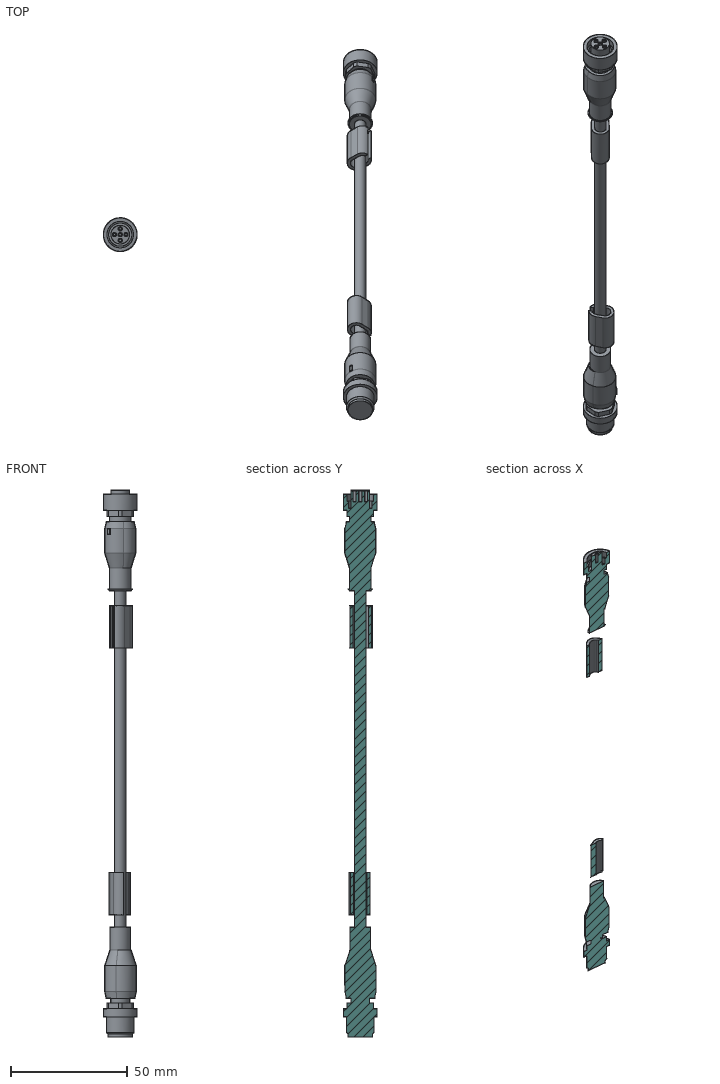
import cadquery as cq
import math

TOTAL_LENGTH = 235.65
NUT_RADIUS = 7.3
CABLE_RADIUS = 2.5
BODY_RADIUS = 6.7

MALE_TIP_RADIUS = 5.3
MALE_TIP_HEIGHT = 1.4
MALE_THREAD_RADIUS = 6.0
MALE_THREAD_CHAMFER_TOP = 2.1
MALE_FLANGE_BOTTOM = 8.8
MALE_FLANGE_TOP = 12.3
MALE_HEX_TOP = 14.8
MALE_NECK_RADIUS = 4.1
MALE_BODY_BOTTOM = 16.7
MALE_SHOULDER_RADIUS = 6.1
MALE_SHOULDER_TOP = 19.7
MALE_TAPER_BOTTOM = 30.8
MALE_TAPER_TOP = 37.5
MALE_SLEEVE_RADIUS = 4.5
MALE_SLEEVE_TOP = 47.4

INSERT_RADIUS = 4.0
INSERT_PROTRUSION = 1.8
FEMALE_NUT_BOTTOM = 8.8
NUT_BORE_RADIUS = 5.7
NUT_BORE_STEP_RADIUS = 5.0
NUT_BORE_STEP_DEPTH = 3.0
NUT_BORE_DEPTH = 6.0
FEMALE_HEX_BOTTOM = 11.5
FEMALE_NECK_RADIUS = 4.7
FEMALE_BODY_TOP = 13.6
FEMALE_SHOULDER_RADIUS = 6.0
FEMALE_SHOULDER_BOTTOM = 16.6
FEMALE_TAPER_TOP = 27.2
FEMALE_TAPER_BOTTOM = 33.6
FEMALE_SLEEVE_RADIUS = 4.7
FEMALE_RIM_TOP = 42.6
FEMALE_RIM_RADIUS = 5.3
FEMALE_RIM_BOTTOM = 43.4

SOCKET_CIRCLE_RADIUS = 2.5
SOCKET_DIAMETER = 1.1
SOCKET_DEPTH = 5.0
SOCKET_MOUTH_DIAMETER = 1.8
SOCKET_MOUTH_DEPTH = 0.5
OUTER_SOCKETS = 4

HEX_ACROSS_CORNERS = 13.4
HEX_ROUND_RADIUS = 6.3

LOBE_RISE = 0.5
LOBE_ANGLE = -45.0
MALE_LOBE_OFFSET = 0.9
FEMALE_LOBE_OFFSET = 2.25
MARK_REACH = 7.1
MARK_WIDTH = 1.2
MALE_MARK_LENGTH = 3.5
FEMALE_MARK_LENGTH = 2.5
MALE_MARK_ANGLE = 135.0
FEMALE_MARK_ANGLE = 225.0

MARKER_LENGTH = 18.3
MARKER_WIDTH = 7.7
MARKER_GRIP = 0.05
MARKER_WALL = MARKER_WIDTH / 2 - CABLE_RADIUS + MARKER_GRIP
MARKER_BACK = 6.0
MARKER_FRONT = 5.0
MARKER_SLOT_WIDTH = 2.2
LOWER_MARKER_BOTTOM = 52.7
UPPER_MARKER_BOTTOM = 167.6
UPPER_MARKER_ANGLE = 225.0
LOWER_MARKER_ANGLE = 298.0


def from_top(depth):
    """Height of a level given by its depth below the top end."""
    return TOTAL_LENGTH - depth


def cylinder(radius, bottom, top):
    return cq.Workplane("XY").workplane(offset=bottom).circle(radius).extrude(top - bottom)


def hex_neck(bottom, top):
    """Hexagon with corners on the Y axis, trimmed by a coaxial cylinder."""
    hexagon = (
        cq.Workplane("XY")
        .workplane(offset=bottom)
        .polygon(6, HEX_ACROSS_CORNERS)
        .extrude(top - bottom)
        .rotate((0, 0, 0), (0, 0, 1), 90)
    )
    return hexagon.intersect(cylinder(HEX_ROUND_RADIUS, bottom, top))


def radial_block(angle, reach, width, bottom, top):
    """Block running out from the axis to the given reach."""
    return (
        cq.Workplane("XY")
        .workplane(offset=bottom)
        .center(reach / 2, 0)
        .rect(reach, width)
        .extrude(top - bottom)
        .rotate((0, 0, 0), (0, 0, 1), angle)
    )


def grip_lobe(offset, outline):
    """Round lobe about an offset axis; outline lists (reach from the part axis, height) upwards."""
    profile = cq.Workplane("XZ").moveTo(0, outline[0][1])
    for reach, height in outline:
        profile = profile.lineTo(reach - offset, height)
    lobe = profile.lineTo(0, outline[-1][1]).close().revolve(360, (0, 0, 0), (0, 1, 0))
    return lobe.translate((offset, 0, 0)).rotate((0, 0, 0), (0, 0, 1), LOBE_ANGLE)


def male_connector():
    profile = (
        cq.Workplane("XZ")
        .moveTo(0, 0)
        .lineTo(MALE_TIP_RADIUS, 0)
        .lineTo(MALE_TIP_RADIUS, MALE_TIP_HEIGHT)
        .lineTo(MALE_THREAD_RADIUS, MALE_THREAD_CHAMFER_TOP)
        .lineTo(MALE_THREAD_RADIUS, MALE_FLANGE_BOTTOM)
        .lineTo(NUT_RADIUS, MALE_FLANGE_BOTTOM)
        .lineTo(NUT_RADIUS, MALE_FLANGE_TOP)
        .lineTo(MALE_NECK_RADIUS, MALE_FLANGE_TOP)
        .lineTo(MALE_NECK_RADIUS, MALE_BODY_BOTTOM)
        .lineTo(MALE_SHOULDER_RADIUS, MALE_BODY_BOTTOM)
        .lineTo(BODY_RADIUS, MALE_SHOULDER_TOP)
        .lineTo(BODY_RADIUS, MALE_TAPER_BOTTOM)
        .lineTo(MALE_SLEEVE_RADIUS, MALE_TAPER_TOP)
        .lineTo(MALE_SLEEVE_RADIUS, MALE_SLEEVE_TOP)
        .lineTo(0, MALE_SLEEVE_TOP)
        .close()
    )
    body = profile.revolve(360, (0, 0, 0), (0, 1, 0))
    body = body.union(hex_neck(MALE_FLANGE_TOP, MALE_HEX_TOP))
    outline = [
        (MALE_SHOULDER_RADIUS + LOBE_RISE, MALE_BODY_BOTTOM),
        (BODY_RADIUS + LOBE_RISE, MALE_SHOULDER_TOP),
        (BODY_RADIUS + LOBE_RISE, MALE_TAPER_BOTTOM),
        (MALE_SLEEVE_RADIUS + LOBE_RISE, MALE_TAPER_TOP),
    ]
    body = body.union(grip_lobe(MALE_LOBE_OFFSET, outline))
    mark_top = MALE_SHOULDER_TOP + MALE_MARK_LENGTH
    return body.union(radial_block(MALE_MARK_ANGLE, MARK_REACH, MARK_WIDTH, MALE_SHOULDER_TOP, mark_top))


def female_connector():
    rim_bottom = from_top(FEMALE_RIM_BOTTOM)
    rim_top = from_top(FEMALE_RIM_TOP)
    nut_bottom = from_top(FEMALE_NUT_BOTTOM)
    nut_top = from_top(INSERT_PROTRUSION)
    body_top = from_top(FEMALE_BODY_TOP)
    shoulder_bottom = from_top(FEMALE_SHOULDER_BOTTOM)
    taper_top = from_top(FEMALE_TAPER_TOP)
    bore_step = nut_top - NUT_BORE_STEP_DEPTH
    bore_floor = nut_top - NUT_BORE_DEPTH
    profile = (
        cq.Workplane("XZ")
        .moveTo(0, rim_bottom)
        .lineTo(FEMALE_SLEEVE_RADIUS, rim_bottom)
        .lineTo(FEMALE_RIM_RADIUS, rim_top)
        .lineTo(FEMALE_SLEEVE_RADIUS, rim_top)
        .lineTo(FEMALE_SLEEVE_RADIUS, from_top(FEMALE_TAPER_BOTTOM))
        .lineTo(BODY_RADIUS, taper_top)
        .lineTo(BODY_RADIUS, shoulder_bottom)
        .lineTo(FEMALE_SHOULDER_RADIUS, body_top)
        .lineTo(FEMALE_NECK_RADIUS, body_top)
        .lineTo(FEMALE_NECK_RADIUS, nut_bottom)
        .lineTo(NUT_RADIUS, nut_bottom)
        .lineTo(NUT_RADIUS, nut_top)
        .lineTo(NUT_BORE_RADIUS, nut_top)
        .lineTo(NUT_BORE_RADIUS, bore_step)
        .lineTo(NUT_BORE_STEP_RADIUS, bore_step)
        .lineTo(NUT_BORE_STEP_RADIUS, bore_floor)
        .lineTo(INSERT_RADIUS, bore_floor)
        .lineTo(INSERT_RADIUS, TOTAL_LENGTH)
        .lineTo(0, TOTAL_LENGTH)
        .close()
    )
    body = profile.revolve(360, (0, 0, 0), (0, 1, 0))
    body = body.union(hex_neck(from_top(FEMALE_HEX_BOTTOM), nut_bottom))
    outline = [
        (FEMALE_SLEEVE_RADIUS + LOBE_RISE, from_top(FEMALE_TAPER_BOTTOM)),
        (BODY_RADIUS + LOBE_RISE, taper_top),
        (BODY_RADIUS + LOBE_RISE, shoulder_bottom),
        (FEMALE_SHOULDER_RADIUS + LOBE_RISE, body_top),
    ]
    body = body.union(grip_lobe(FEMALE_LOBE_OFFSET, outline))
    mark_bottom = shoulder_bottom - FEMALE_MARK_LENGTH
    body = body.union(
        radial_block(FEMALE_MARK_ANGLE, MARK_REACH, MARK_WIDTH, mark_bottom, shoulder_bottom)
    )
    return body.cut(contact_sockets())


def contact_sockets():
    """One central socket and a ring of sockets on the X and Y axes."""
    centers = [(0, 0)]
    for index in range(OUTER_SOCKETS):
        angle = 2 * math.pi * index / OUTER_SOCKETS
        centers.append((SOCKET_CIRCLE_RADIUS * math.cos(angle), SOCKET_CIRCLE_RADIUS * math.sin(angle)))
    bores = socket_cylinders(centers, SOCKET_DIAMETER, SOCKET_DEPTH)
    return bores.union(socket_cylinders(centers, SOCKET_MOUTH_DIAMETER, SOCKET_MOUTH_DEPTH))


def socket_cylinders(centers, diameter, depth):
    """Equal cylinders sunk from the top end of the insert."""
    return (
        cq.Workplane("XY")
        .workplane(offset=from_top(depth))
        .pushPoints(centers)
        .circle(diameter / 2)
        .extrude(depth)
    )


def marker_outline(bottom, inset):
    """Prism with rounded ends, inset evenly from the outer marker outline."""
    return (
        cq.Workplane("XY")
        .workplane(offset=bottom)
        .center((MARKER_FRONT - MARKER_BACK) / 2, 0)
        .slot2D(MARKER_FRONT + MARKER_BACK - 2 * inset, MARKER_WIDTH - 2 * inset)
        .extrude(MARKER_LENGTH)
    )


def marker_sleeve(bottom, slot_angle):
    """Tube gripping the cable between its flat walls, slotted open at the end facing slot_angle."""
    tube = marker_outline(bottom, 0).cut(marker_outline(bottom, MARKER_WALL))
    slot = radial_block(0, MARKER_FRONT, MARKER_SLOT_WIDTH, bottom, bottom + MARKER_LENGTH)
    return tube.cut(slot).rotate((0, 0, 0), (0, 0, 1), slot_angle)


def cable():
    return cylinder(CABLE_RADIUS, MALE_SLEEVE_TOP, from_top(FEMALE_RIM_BOTTOM))


result = (
    cable()
    .union(marker_sleeve(LOWER_MARKER_BOTTOM, LOWER_MARKER_ANGLE))
    .union(marker_sleeve(UPPER_MARKER_BOTTOM, UPPER_MARKER_ANGLE))
    .union(male_connector())
    .union(female_connector())
)